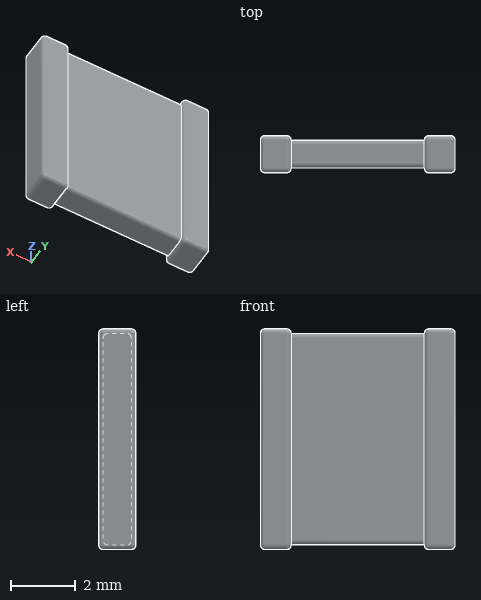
import cadquery as cq

length_x = 6.0
depth_y = 1.15
height_z = 6.8

terminal_width = 0.95
edge_radius = 0.14
core_inset = 0.14

core_depth = depth_y - 2 * core_inset
core_height = height_z - 2 * core_inset
core_length = length_x - 2 * terminal_width
terminal_offset = (length_x - terminal_width) / 2


def make_terminal(center_x):
    """Solid end terminal with every edge rounded."""
    block = cq.Workplane("XY").box(terminal_width, depth_y, height_z)
    return block.edges().fillet(edge_radius).translate((center_x, 0, 0))


def make_core():
    """Ceramic slab between the terminals, rounded along its long edges."""
    slab = cq.Workplane("XY").box(core_length, core_depth, core_height)
    return slab.edges("|X").fillet(edge_radius)


terminals = [make_terminal(side * terminal_offset) for side in (-1, 1)]
core = make_core()

result = cq.Compound.makeCompound([core.val()] + [terminal.val() for terminal in terminals])